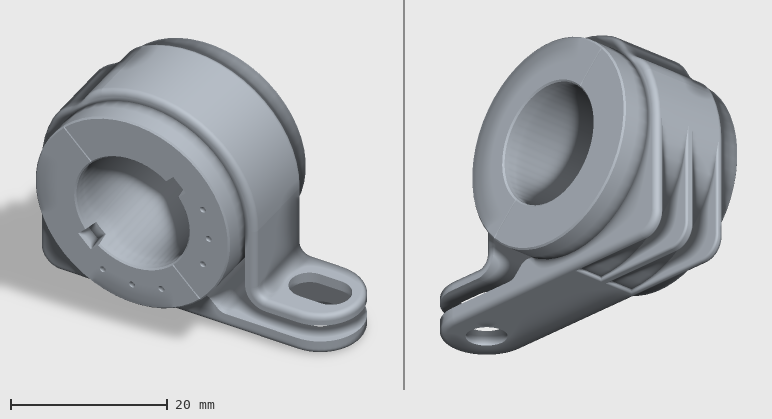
import cadquery as cq
import math


ring_radius = 14.3
bore_radius = 8.3
ring_length = 20.0
split_angle = 135.0
ring_edge_chamfer = 0.2
split_edge_chamfer = 0.11

notch_angles = (45.0, 225.0)
notch_width = 2.65
notch_depth = 2.2
notch_draft = 8.3
notch_outer_radius = 9.85

dimple_circle_radius = 11.25
dimple_group_angles = (0.0, 270.0)
dimple_spacing_angle = 22.5
dimple_mouth_diameter = 0.88
dimple_tip_diameter = 0.225
dimple_depth = 1.0

clamp_width = 11.95
strap_outer_radius = 15.87
strap_inner_radius = 14.35
base_bottom = -16.4
tab_end = 27.98
edge_fillet = 0.8
corner_radius = 3.0

tab_bottom = -11.85
tab_thickness = 1.5
bend_outer_radius = 3.0
bend_inner_radius = bend_outer_radius - tab_thickness
tab_top = tab_bottom + tab_thickness

foot_top = -14.35
seat_top = -12.3
seat_top_end = 8.05
seat_curve_radius = 1.7
seat_slope = 45.0

dip_shoulder_radius = 6.0
dip_hollow_radius = 5.0
dip_half_angle = 18.8

screw_diameter = 5.4
slot_length = 8.55

rib_width = 1.25
rib_fillet = 0.3
open_margin = 0.45
lower_left_angle = 225.0

screw_x = tab_end - clamp_width / 2
front_face = -ring_length / 2


def polar(radius, angle):
    """Point in the XZ plane at an angle in degrees from +X towards +Z."""
    return (radius * math.cos(math.radians(angle)), radius * math.sin(math.radians(angle)))


def arc_inset(radius):
    """Distance from each side of a square corner to the middle of the arc that rounds it."""
    return radius * (1 - math.sqrt(0.5))


def centred_prism(outline, width):
    """Extrude an XZ outline to a width centred on Y = 0."""
    return outline.extrude(width / 2, both=True)


def plane_xz():
    return cq.Workplane("XZ")


def cylinder(radius, length):
    """Cylinder on the ring axis, centred on Y = 0."""
    return centred_prism(plane_xz().circle(radius), length)


def clamp_outline():
    """Outside of the strap, tab and base, with the gap between tab and foot filled in."""
    shoulder_centre_radius = strap_outer_radius - dip_shoulder_radius
    centre_spacing = dip_shoulder_radius + dip_hollow_radius
    half_angle = math.radians(dip_half_angle)
    hollow_offset = math.sqrt(centre_spacing**2 - (shoulder_centre_radius * math.sin(half_angle)) ** 2)
    hollow_centre_radius = shoulder_centre_radius * math.cos(half_angle) + hollow_offset
    hollow_centre = polar(hollow_centre_radius, split_angle)

    def shoulder(side):
        """Dip points on one side: on the strap circle, mid shoulder and where the hollow starts."""
        angle = split_angle + side * dip_half_angle
        centre = polar(shoulder_centre_radius, angle)
        towards_hollow = [h - c for h, c in zip(hollow_centre, centre)]
        share = dip_shoulder_radius / centre_spacing
        join = [c + share * t for c, t in zip(centre, towards_hollow)]
        outward = polar(1, angle)
        bisector = [o + t / centre_spacing for o, t in zip(outward, towards_hollow)]
        reach = dip_shoulder_radius / math.hypot(*bisector)
        middle = [c + reach * b for c, b in zip(centre, bisector)]
        return polar(strap_outer_radius, angle), tuple(middle), tuple(join)

    upper_start, upper_middle, upper_join = shoulder(-1)
    lower_start, lower_middle, lower_join = shoulder(1)
    hollow_bottom = polar(hollow_centre_radius - dip_hollow_radius, split_angle)
    strap_middle = polar(strap_outer_radius, (split_angle - dip_half_angle) / 2)
    left_middle = polar(strap_outer_radius, (split_angle + dip_half_angle + 180) / 2)
    bend_inset = arc_inset(bend_inner_radius)
    corner_inset = arc_inset(corner_radius)
    return (
        plane_xz()
        .moveTo(-strap_outer_radius, 0)
        .lineTo(-strap_outer_radius, base_bottom + corner_radius)
        .threePointArc(
            (-strap_outer_radius + corner_inset, base_bottom + corner_inset),
            (-strap_outer_radius + corner_radius, base_bottom),
        )
        .lineTo(tab_end, base_bottom)
        .lineTo(tab_end, tab_top)
        .lineTo(strap_outer_radius + bend_inner_radius, tab_top)
        .threePointArc(
            (strap_outer_radius + bend_inset, tab_top + bend_inset),
            (strap_outer_radius, tab_top + bend_inner_radius),
        )
        .lineTo(strap_outer_radius, 0)
        .threePointArc(strap_middle, upper_start)
        .threePointArc(upper_middle, upper_join)
        .threePointArc(hollow_bottom, lower_join)
        .threePointArc(lower_middle, lower_start)
        .threePointArc(left_middle, (-strap_outer_radius, 0))
        .close()
    )


def clamp_blank():
    """Solid clamp block with its round end and all its outer edges rounded."""
    block = centred_prism(clamp_outline(), clamp_width)
    height = tab_top - base_bottom
    end = cq.Workplane("XY").workplane(offset=base_bottom)
    end_corners = (
        end.center(screw_x + clamp_width / 4, 0)
        .rect(clamp_width / 2, clamp_width)
        .extrude(height)
        .cut(end.center(screw_x, 0).circle(clamp_width / 2).extrude(height))
    )
    rounded_end = block.cut(end_corners)
    return rounded_end.faces("|Y").edges("not |Z").fillet(edge_fillet)


def clamp_opening():
    """Space between the tab and the foot, from inside the strap to the open end."""
    slope = math.radians(seat_slope)
    curve_run = seat_curve_radius * math.sin(slope)
    curve_drop = seat_curve_radius * (1 - math.cos(slope))
    slope_drop = seat_top - foot_top - 2 * curve_drop
    slope_start = (seat_top_end + curve_run, seat_top - curve_drop)
    slope_end = (slope_start[0] + slope_drop / math.tan(slope), slope_start[1] - slope_drop)
    foot_start = slope_end[0] + curve_run
    half_run = seat_curve_radius * math.sin(slope / 2)
    half_drop = seat_curve_radius * (1 - math.cos(slope / 2))
    bend_inset = arc_inset(bend_outer_radius)
    outline = (
        plane_xz()
        .moveTo(0, 0)
        .lineTo(strap_inner_radius, 0)
        .lineTo(strap_inner_radius, tab_bottom + bend_outer_radius)
        .threePointArc(
            (strap_inner_radius + bend_inset, tab_bottom + bend_inset),
            (strap_inner_radius + bend_outer_radius, tab_bottom),
        )
        .lineTo(tab_end, tab_bottom)
        .lineTo(tab_end, foot_top)
        .lineTo(foot_start, foot_top)
        .threePointArc((foot_start - half_run, foot_top + half_drop), slope_end)
        .lineTo(*slope_start)
        .threePointArc((seat_top_end + half_run, seat_top - half_drop), (seat_top_end, seat_top))
        .lineTo(0, seat_top)
        .close()
    )
    return centred_prism(outline, clamp_width)


def corner_block(width):
    """Block under the left side of the ring, with the clamp's rounded lower corner.

    It reaches past the step in the base by the rounding of that step.
    """
    corner_inset = arc_inset(corner_radius)
    outline = (
        plane_xz()
        .moveTo(-strap_outer_radius, 0)
        .lineTo(-strap_outer_radius, base_bottom + corner_radius)
        .threePointArc(
            (-strap_outer_radius + corner_inset, base_bottom + corner_inset),
            (-strap_outer_radius + corner_radius, base_bottom),
        )
        .lineTo(rib_fillet, base_bottom)
        .lineTo(rib_fillet, 0)
        .close()
    )
    return centred_prism(outline, width)


def rib_pocket(width):
    """Space under the left side of the strap, outside its wall, open to the left and below.

    It ends at a step in the base, under the ring axis, with a rounded lower edge.
    """
    outer_left = -strap_outer_radius - open_margin
    outer_bottom = base_bottom - open_margin
    step_inset = arc_inset(rib_fillet)
    outline = (
        plane_xz()
        .moveTo(-strap_outer_radius, 0)
        .lineTo(outer_left, 0)
        .lineTo(outer_left, outer_bottom)
        .lineTo(rib_fillet, outer_bottom)
        .lineTo(rib_fillet, base_bottom)
        .threePointArc((step_inset, base_bottom + step_inset), (0, base_bottom + rib_fillet))
        .lineTo(0, -strap_outer_radius)
        .threePointArc(polar(strap_outer_radius, lower_left_angle), (-strap_outer_radius, 0))
        .close()
    )
    return centred_prism(outline, width)


def rib(width, y, rounded_faces):
    """Rib with rounded outer edges on the given faces, in place along Y."""
    plate = corner_block(width)
    for face in rounded_faces:
        plate = plate.faces(face).edges("<X or <Z or %CIRCLE").fillet(rib_fillet)
    return plate.translate((0, y, 0))


def make_clamp():
    inner_width = clamp_width - 2 * edge_fillet
    clamp = clamp_blank().cut(rib_pocket(inner_width))

    side_width = rib_width - edge_fillet
    side_y = (inner_width - side_width) / 2
    clamp = clamp.union(rib(rib_width, 0, ("<Y", ">Y")))
    clamp = clamp.union(rib(side_width, -side_y, (">Y",)))
    clamp = clamp.union(rib(side_width, side_y, ("<Y",)))

    clamp = clamp.cut(cylinder(strap_inner_radius, clamp_width)).cut(clamp_opening())
    screw_axis = cq.Workplane("XY").workplane(offset=base_bottom).center(screw_x, 0)
    screw_hole = screw_axis.circle(screw_diameter / 2).extrude(foot_top - base_bottom)
    tab_plane = cq.Workplane("XY").workplane(offset=tab_bottom).center(screw_x, 0)
    tab_slot = tab_plane.slot2D(slot_length, screw_diameter).extrude(tab_thickness)
    return clamp.cut(screw_hole).cut(tab_slot)


def front_plane():
    """Sketch plane on the front face of the ring, facing out."""
    return cq.Workplane("XZ", origin=(0, front_face, 0))


def notch(angle):
    """Notch that opens into the bore; its side walls lean together with depth."""
    taper = notch_depth * math.tan(math.radians(notch_draft))
    mouth_half = notch_width / 2
    floor_half = mouth_half - taper
    section = (
        cq.Workplane("YZ")
        .moveTo(front_face, -mouth_half)
        .lineTo(front_face, mouth_half)
        .lineTo(front_face + notch_depth, floor_half)
        .lineTo(front_face + notch_depth, -floor_half)
        .close()
    )
    return section.extrude(notch_outer_radius).rotate((0, 0, 0), (0, 1, 0), -angle)


def dimple(angle):
    """Conical dimple with a flat tip."""
    mouth = front_plane().center(*polar(dimple_circle_radius, angle)).circle(dimple_mouth_diameter / 2)
    return mouth.workplane(offset=-dimple_depth).circle(dimple_tip_diameter / 2).loft()


def make_half_shell(side_angle):
    """Half of the ring on the side that faces the given angle."""
    ring = cylinder(ring_radius, ring_length).cut(cylinder(bore_radius, ring_length))
    half_space = (
        cq.Workplane("XY").box(ring_radius, ring_length, 2 * ring_radius)
        .translate((ring_radius / 2, 0, 0))
        .rotate((0, 0, 0), (0, 1, 0), -side_angle)
    )
    half = ring.intersect(half_space)
    half = half.faces("|Y").edges("%CIRCLE").chamfer(ring_edge_chamfer)
    half = half.faces("<Y or >Y").edges("%LINE").chamfer(split_edge_chamfer)
    for angle in notch_angles:
        half = half.cut(notch(angle))
    for group_angle in dimple_group_angles:
        for step in (-1, 0, 1):
            half = half.cut(dimple(group_angle + step * dimple_spacing_angle))
    return half


clamp = make_clamp()
half_shells = [make_half_shell(split_angle + turn) for turn in (-90, 90)]

result = cq.Compound.makeCompound([clamp.val(), *[half.val() for half in half_shells]])